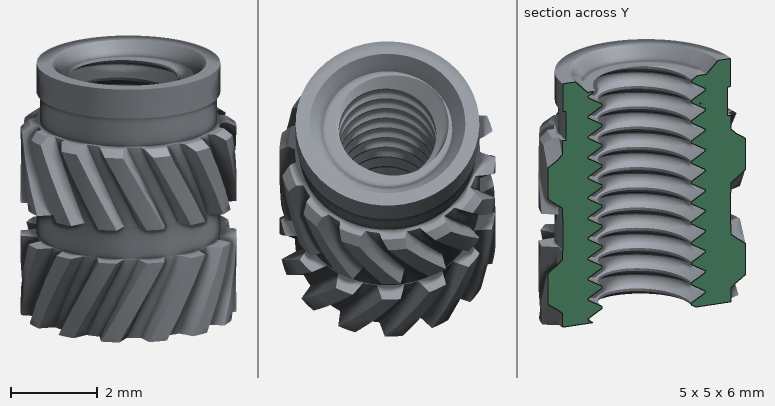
import cadquery as cq
import math

TOTAL_HEIGHT = 6.0
COLLAR_RADIUS = 4.25 / 2
NECK_RADIUS = 4.1 / 2
COLLAR_HEIGHT = 0.7
NECK_HEIGHT = 0.695

KNURL_RADIUS = 5.0 / 2
KNURL_FLOOR_RADIUS = 2.135
KNURL_HEIGHT = 1.9
KNURL_TEETH = 14
KNURL_TWIST = 24.3
TOOTH_TIP_ANGLE = 10.0
TOOTH_ROOT_ANGLE = 17.2
KNURL_CHAMFER_RADIAL = 0.205
KNURL_CHAMFER_HEIGHT = 0.15
FIRST_TOOTH_ANGLE = 270.0

BORE_RADIUS = 2.255 / 2
THREAD_RADIUS = 2.965 / 2
THREAD_PITCH = 0.5
THREAD_CREST = THREAD_PITCH / 8
THREAD_FLANK_ANGLE = 30.0
COUNTERSINK_RADIUS = 1.8
COUNTERSINK_DEPTH = 0.3
ENTRY_RADIUS = COUNTERSINK_RADIUS - COUNTERSINK_DEPTH
THREAD_RUNOUT_ANGLE = 270.0

TOOTH_OVERLAP = 0.05
THREAD_OVERLAP = 0.025

COLLAR_BASE = TOTAL_HEIGHT - COLLAR_HEIGHT
UPPER_KNURL_TOP = COLLAR_BASE - NECK_HEIGHT
UPPER_KNURL_BASE = UPPER_KNURL_TOP - KNURL_HEIGHT
ENTRY_FLOOR = TOTAL_HEIGHT - COUNTERSINK_DEPTH


def polar(radius, angle):
    """XY point at a radius and an angle in degrees."""
    return (radius * math.cos(math.radians(angle)), radius * math.sin(math.radians(angle)))


def make_core():
    """Plain stepped body under the knurls."""
    return (
        cq.Workplane("XZ")
        .moveTo(0, 0)
        .lineTo(COLLAR_RADIUS, 0)
        .lineTo(COLLAR_RADIUS, UPPER_KNURL_TOP)
        .lineTo(NECK_RADIUS, UPPER_KNURL_TOP)
        .lineTo(NECK_RADIUS, COLLAR_BASE)
        .lineTo(COLLAR_RADIUS, COLLAR_BASE)
        .lineTo(COLLAR_RADIUS, TOTAL_HEIGHT)
        .lineTo(0, TOTAL_HEIGHT)
        .close()
        .revolve(360, (0, 0, 0), (0, 1, 0))
    )


def make_knurl_blank(base):
    """Disc that limits the tooth tips of one knurl."""
    return cq.Workplane("XY").workplane(offset=base).circle(KNURL_RADIUS).extrude(KNURL_HEIGHT)


def make_tooth(base, start_angle, twist):
    """One slanted tooth, longer radially than needed at both its tip and its root."""
    half_tip = TOOTH_TIP_ANGLE / 2
    half_root = TOOTH_ROOT_ANGLE / 2
    slope = (half_root - half_tip) / (KNURL_RADIUS - KNURL_FLOOR_RADIUS)
    outer = KNURL_RADIUS + TOOTH_OVERLAP
    inner = KNURL_FLOOR_RADIUS - TOOTH_OVERLAP
    half_outer = half_tip - slope * TOOTH_OVERLAP
    half_inner = half_root + slope * TOOTH_OVERLAP
    return (
        cq.Workplane("XY")
        .workplane(offset=base)
        .polyline(
            [
                polar(inner, start_angle - half_inner),
                polar(outer, start_angle - half_outer),
                polar(outer, start_angle + half_outer),
                polar(inner, start_angle + half_inner),
            ]
        )
        .close()
        .twistExtrude(KNURL_HEIGHT, twist)
    )


def add_knurl(body, blank, base, start_angle, twist):
    """Join a full ring of slanted teeth, and the floor between them, to the body."""
    floor = (
        cq.Workplane("XY").workplane(offset=base).circle(KNURL_FLOOR_RADIUS).extrude(KNURL_HEIGHT)
    )
    body = body.union(floor)
    tooth = make_tooth(base, start_angle, twist).intersect(blank)
    pitch_angle = 360 / KNURL_TEETH
    for index in range(KNURL_TEETH):
        body = body.union(tooth.rotate((0, 0, 0), (0, 0, 1), index * pitch_angle))
    return body


def make_bore():
    """Through bore with its conical countersink."""
    return (
        cq.Workplane("XZ")
        .moveTo(0, 0)
        .lineTo(BORE_RADIUS, 0)
        .lineTo(BORE_RADIUS, ENTRY_FLOOR)
        .lineTo(ENTRY_RADIUS, ENTRY_FLOOR)
        .lineTo(COUNTERSINK_RADIUS, TOTAL_HEIGHT)
        .lineTo(0, TOTAL_HEIGHT)
        .close()
        .revolve(360, (0, 0, 0), (0, 1, 0))
    )


def make_thread_turn():
    """One full turn of the helical V groove, deepest at the runout angle at Z = 0."""
    slope = math.tan(math.radians(THREAD_FLANK_ANGLE))
    half_mouth = (THREAD_PITCH - THREAD_CREST) / 2
    half_inner = half_mouth + slope * THREAD_OVERLAP
    half_root = half_mouth - slope * (THREAD_RADIUS - BORE_RADIUS)
    inner = BORE_RADIUS - THREAD_OVERLAP
    helix = cq.Wire.makeHelix(THREAD_PITCH, THREAD_PITCH, BORE_RADIUS)
    turn = (
        cq.Workplane("XZ")
        .polyline(
            [
                (inner, -half_inner),
                (THREAD_RADIUS, -half_root),
                (THREAD_RADIUS, half_root),
                (inner, half_inner),
            ]
        )
        .close()
        .sweep(cq.Workplane(obj=helix), isFrenet=True)
    )
    return turn.rotate((0, 0, 0), (0, 0, 1), THREAD_RUNOUT_ANGLE)


def cut_thread(body):
    """Cut the thread turn by turn, from above the countersink floor to below the base."""
    turn = make_thread_turn()
    turns_below_floor = math.ceil(ENTRY_FLOOR / THREAD_PITCH) + 1
    for index in range(turns_below_floor + 1):
        turn_start = ENTRY_FLOOR - index * THREAD_PITCH
        body = body.cut(turn.translate((0, 0, turn_start)))
    return body


lower_blank = make_knurl_blank(0)
upper_blank = (
    make_knurl_blank(UPPER_KNURL_BASE)
    .faces(">Z")
    .edges()
    .chamfer(KNURL_CHAMFER_HEIGHT, KNURL_CHAMFER_RADIAL)
)

body = make_core()
body = add_knurl(body, lower_blank, 0, FIRST_TOOTH_ANGLE, KNURL_TWIST)
body = add_knurl(
    body, upper_blank, UPPER_KNURL_BASE, FIRST_TOOTH_ANGLE + KNURL_TWIST, -KNURL_TWIST
)
body = body.cut(make_bore())
result = cut_thread(body)